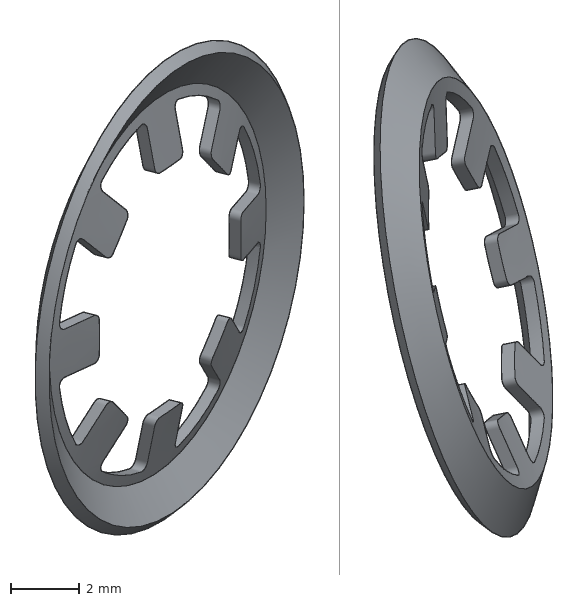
import cadquery as cq
import math

outer_radius = 7.42
ridge_radius = 6.12
opening_radius = 5.7
tip_distance = 3.95
rim_depth = 0.77
tooth_depth = 0.45
edge_chamfer = 0.3
sheet_thickness = 0.4
tooth_count = 8
tooth_width = 1.55
tip_fillet = 0.22
root_fillet = 0.22

rim_slope = rim_depth / (outer_radius - ridge_radius)
tooth_slope = tooth_depth / (ridge_radius - tip_distance)

bore_allowance = 0.3
blank_bore_radius = tip_distance - bore_allowance
overall_depth = rim_depth + edge_chamfer
edge_radius = outer_radius - edge_chamfer


def front_tooth_face(radius):
    return tooth_slope * (ridge_radius - radius)


tooth_axial_thickness = sheet_thickness * math.hypot(1, tooth_slope)
rim_back_at_ridge = overall_depth - rim_slope * (edge_radius - ridge_radius)
back_ridge_radius = ridge_radius + (
    (tooth_axial_thickness - rim_back_at_ridge) / (rim_slope + tooth_slope)
)
back_ridge_depth = front_tooth_face(back_ridge_radius) + tooth_axial_thickness
bore_front_depth = front_tooth_face(blank_bore_radius)


def make_blank():
    """Bent sheet profile revolved about X."""
    return (
        cq.Workplane("XY")
        .moveTo(0, ridge_radius)
        .lineTo(rim_depth, outer_radius)
        .lineTo(overall_depth, edge_radius)
        .lineTo(back_ridge_depth, back_ridge_radius)
        .lineTo(bore_front_depth + tooth_axial_thickness, blank_bore_radius)
        .lineTo(bore_front_depth, blank_bore_radius)
        .close()
        .revolve(360, (0, 0, 0), (1, 0, 0))
    )


def make_opening():
    """Axial cutter: a disc with the tooth outlines taken out of it."""
    opening = cq.Workplane("YZ").circle(opening_radius).extrude(overall_depth)
    tooth_length = outer_radius - tip_distance
    tooth = (
        cq.Workplane("YZ")
        .center(tip_distance + tooth_length / 2, 0)
        .rect(tooth_length, tooth_width)
        .extrude(overall_depth)
        .edges("|X and <Y")
        .fillet(tip_fillet)
    )
    for index in range(tooth_count):
        angle = index * 360 / tooth_count
        opening = opening.cut(tooth.rotate((0, 0, 0), (1, 0, 0), angle))

    root_zone_radius = (tip_distance + opening_radius) / 2 + tip_fillet
    root_edges = [
        edge for edge in opening.edges("|X").vals()
        if math.hypot(edge.Center().y, edge.Center().z) > root_zone_radius
    ]
    return opening.newObject(root_edges).fillet(root_fillet)


result = make_blank().cut(make_opening())